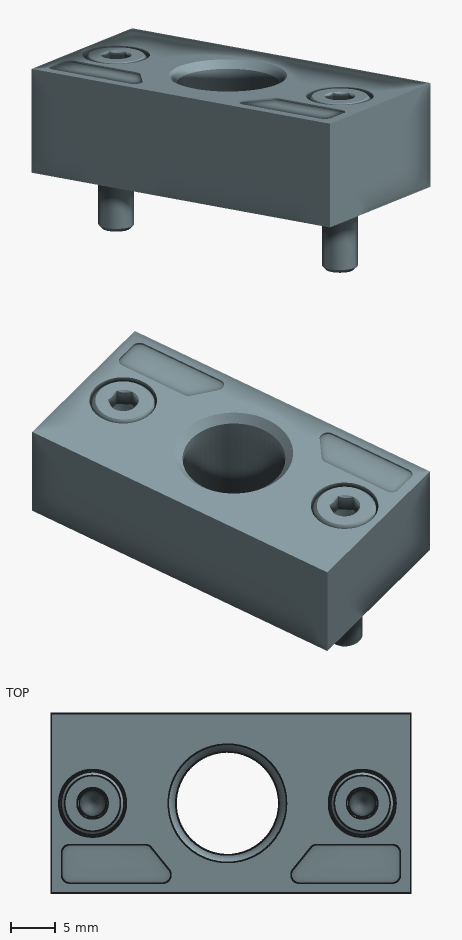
import cadquery as cq
import math

BLOCK_LENGTH = 40.0
BLOCK_WIDTH = 20.0
BLOCK_HEIGHT = 12.0

BORE_X = -0.4
BORE_DIAMETER = 11.45
BORE_MOUTH_DIAMETER = 13.15

SCREW_SPACING = 30.0
SHANK_DIAMETER = 4.0
SHANK_TIP_DIAMETER = 3.1
SHANK_PROTRUSION = 8.0
HEAD_DIAMETER = 7.0
HEAD_TOP_DIAMETER = 6.2
HEAD_HEIGHT = 4.0

COUNTERBORE_FLOOR_DIAMETER = 7.4
COUNTERBORE_MOUTH_DIAMETER = 7.5

HEX_SIDES = 6
SOCKET_WIDTH = 3.0
SOCKET_DEPTH = 2.0
SOCKET_POINT_ANGLE = 120.0

POCKET_DEPTH = 0.25
POCKET_SIDE_MARGIN = 1.15
POCKET_FRONT_MARGIN = 1.1
POCKET_WIDTH = 4.3
POCKET_LONG_SIDE = 13.15
POCKET_SHORT_SIDE = 9.7
POCKET_CORNER_RADIUS = 0.9

SCREW_XS = [BORE_X - SCREW_SPACING / 2, BORE_X + SCREW_SPACING / 2]


def turned(x, profile):
    """Solid of revolution about the vertical axis at x, from (radius, height) points."""
    outline = cq.Workplane("XZ").polyline(profile).close()
    return outline.revolve(360, (0, 0, 0), (0, 1, 0)).translate((x, 0, 0))


def cylinder(x, bottom, top, diameter):
    """Vertical cylinder centred at x, between two heights."""
    return cq.Workplane("XY", origin=(x, 0, bottom)).circle(diameter / 2).extrude(top - bottom)


def make_bore():
    """Space of the through bore, with its chamfered mouth at the top."""
    radius = BORE_DIAMETER / 2
    mouth_radius = BORE_MOUTH_DIAMETER / 2
    chamfer = mouth_radius - radius
    return turned(BORE_X, [
        (0, 0),
        (radius, 0),
        (radius, BLOCK_HEIGHT - chamfer),
        (mouth_radius, BLOCK_HEIGHT),
        (0, BLOCK_HEIGHT),
    ])


def make_screw_hole(x):
    """Space of a hole that fits the shank, with a tapered counterbore around the head."""
    shank_radius = SHANK_DIAMETER / 2
    floor = BLOCK_HEIGHT - HEAD_HEIGHT
    return turned(x, [
        (0, 0),
        (shank_radius, 0),
        (shank_radius, floor),
        (COUNTERBORE_FLOOR_DIAMETER / 2, floor),
        (COUNTERBORE_MOUTH_DIAMETER / 2, BLOCK_HEIGHT),
        (0, BLOCK_HEIGHT),
    ])


def make_label_pocket():
    """Space of the shallow pocket at the -X end, with its inner end slanted."""
    outer_x = -BLOCK_LENGTH / 2 + POCKET_SIDE_MARGIN
    front_y = -BLOCK_WIDTH / 2 + POCKET_FRONT_MARGIN
    back_y = front_y + POCKET_WIDTH
    return (
        cq.Workplane("XY", origin=(0, 0, BLOCK_HEIGHT - POCKET_DEPTH))
        .moveTo(outer_x, front_y)
        .lineTo(outer_x + POCKET_LONG_SIDE, front_y)
        .lineTo(outer_x + POCKET_SHORT_SIDE, back_y)
        .lineTo(outer_x, back_y)
        .close()
        .extrude(POCKET_DEPTH)
        .edges("|Z")
        .fillet(POCKET_CORNER_RADIUS)
    )


def make_block():
    """Block with the bore, two counterbored screw holes and two label pockets."""
    body = cq.Workplane("XY").box(BLOCK_LENGTH, BLOCK_WIDTH, BLOCK_HEIGHT, centered=(True, True, False))
    body = body.cut(make_bore())
    for x in SCREW_XS:
        body = body.cut(make_screw_hole(x))
    pocket = make_label_pocket()
    return body.cut(pocket).cut(pocket.mirror("YZ"))


def make_socket(x):
    """Space of a hexagonal socket with a countersunk mouth and a conical bottom."""
    half_side_angle = 180 / HEX_SIDES
    inner_radius = SOCKET_WIDTH / 2
    corner_radius = inner_radius / math.cos(math.radians(half_side_angle))
    mouth_chamfer = corner_radius - inner_radius
    point_depth = inner_radius / math.tan(math.radians(SOCKET_POINT_ANGLE / 2))
    floor = BLOCK_HEIGHT - SOCKET_DEPTH
    hexagon = (
        cq.Workplane("XY", origin=(x, 0, floor))
        .transformed(rotate=(0, 0, half_side_angle))
        .polygon(HEX_SIDES, 2 * corner_radius)
        .extrude(SOCKET_DEPTH)
    )
    drilled = turned(x, [
        (0, floor - point_depth),
        (inner_radius, floor),
        (inner_radius, BLOCK_HEIGHT - mouth_chamfer),
        (corner_radius, BLOCK_HEIGHT),
        (0, BLOCK_HEIGHT),
    ])
    return hexagon.union(drilled)


def make_screw(x):
    """Cap screw with its head flush with the top of the block."""
    tip_chamfer = (SHANK_DIAMETER - SHANK_TIP_DIAMETER) / 2
    head_chamfer = (HEAD_DIAMETER - HEAD_TOP_DIAMETER) / 2
    head_bottom = BLOCK_HEIGHT - HEAD_HEIGHT
    shank = cylinder(x, -SHANK_PROTRUSION, head_bottom, SHANK_DIAMETER).faces("<Z").chamfer(tip_chamfer)
    head = cylinder(x, head_bottom, BLOCK_HEIGHT, HEAD_DIAMETER).faces(">Z").chamfer(head_chamfer)
    return shank.union(head).cut(make_socket(x))


block = make_block()
screws = [make_screw(x) for x in SCREW_XS]
result = cq.Compound.makeCompound([block.solids().val(), *[screw.solids().val() for screw in screws]])